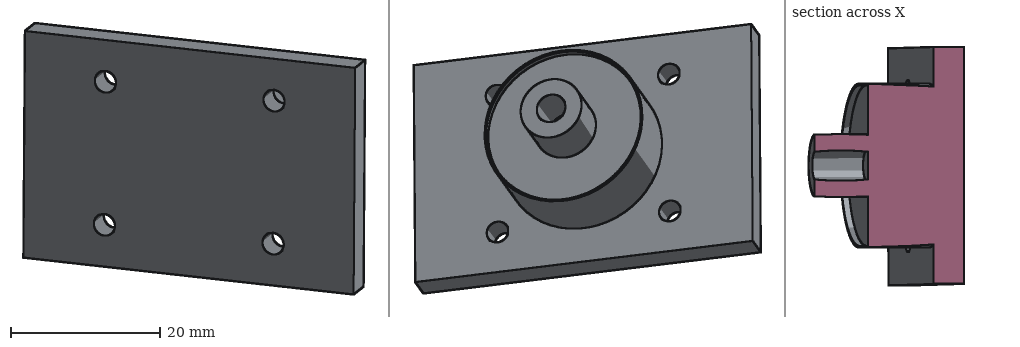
import cadquery as cq

plate_length = 47.0
plate_height = 31.72
plate_thickness = 4.0

hole_spacing_x = 24.0
hole_spacing_z = 20.0
hole_diameter = 3.0

drum_diameter = 22.0
drum_height = 9.5
rim_inner_diameter = 21.5
rim_depth = 1.0

post_diameter = 8.5
post_end = 15.5
bore_diameter = 4.0
bore_depth = post_end - drum_height + rim_depth

roll_about_y = 0.4
swing_about_z = 13.3


def cylinder(diameter, start, length, x=0, z=0):
    """Cylinder along +Y, starting at y = start."""
    return cq.Workplane("XY").add(
        cq.Solid.makeCylinder(diameter / 2, length, cq.Vector(x, start, z), cq.Vector(0, 1, 0))
    )


def make_plate():
    """Plate with its back face on y = 0 and four through holes."""
    plate = cq.Workplane("XY").box(plate_length, plate_thickness, plate_height)
    plate = plate.translate((0, -plate_thickness / 2, 0))
    for x in (-hole_spacing_x / 2, hole_spacing_x / 2):
        for z in (-hole_spacing_z / 2, hole_spacing_z / 2):
            plate = plate.cut(cylinder(hole_diameter, -plate_thickness, plate_thickness, x, z))
    return plate


def make_drum():
    """Drum whose free end is recessed inside a thin rim."""
    recess = cylinder(rim_inner_diameter, drum_height - rim_depth, rim_depth)
    return cylinder(drum_diameter, 0, drum_height).cut(recess)


body = make_plate().union(make_drum()).union(cylinder(post_diameter, 0, post_end))
body = body.cut(cylinder(bore_diameter, post_end - bore_depth, bore_depth))

body = body.rotate((0, 0, 0), (0, 1, 0), roll_about_y)
result = body.rotate((0, 0, 0), (0, 0, 1), swing_about_z)